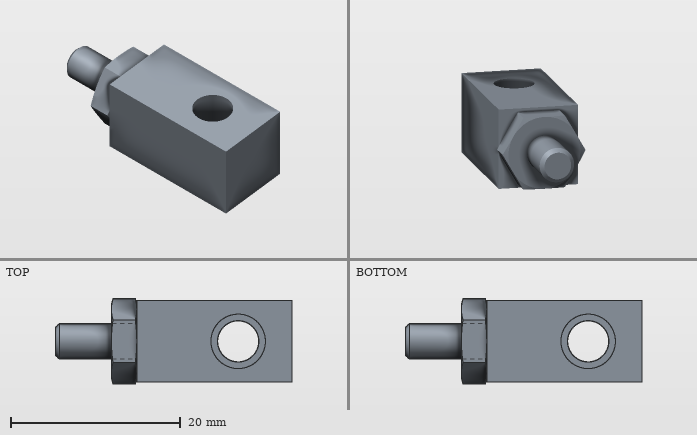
import cadquery as cq
import math

total_length = 27.95
stud_free_length = 6.62
stud_diameter = 4.2
stud_chamfer = 0.47
head_side = 9.65

nut_sides = 6
nut_thickness = 3.0
nut_across_corners = 10.1
nut_across_flats = nut_across_corners * math.cos(math.pi / nut_sides)
nut_chamfer_angle = 15.0

bush_outer_diameter = 6.43
bush_bore_diameter = 4.83
bush_x = 21.57

nut_start = stud_free_length
head_start = nut_start + nut_thickness
head_length = total_length - head_start


def cylinder_along_x(diameter, start, length):
    return cq.Workplane("YZ", origin=(start, 0, 0)).circle(diameter / 2).extrude(length)


def cylinder_through_head(diameter):
    return (
        cq.Workplane("XY", origin=(bush_x, 0, -head_side / 2))
        .circle(diameter / 2)
        .extrude(head_side)
    )


def make_rod_end():
    stud = cylinder_along_x(stud_diameter, 0, head_start).faces("<X").chamfer(stud_chamfer)
    head = cq.Workplane("YZ", origin=(head_start, 0, 0)).rect(head_side, head_side).extrude(head_length)
    return head.union(stud).cut(cylinder_through_head(bush_outer_diameter))


def make_nut():
    hexagon = (
        cq.Workplane("YZ", origin=(nut_start, 0, 0))
        .polygon(nut_sides, nut_across_corners)
        .extrude(nut_thickness)
    )
    face_radius = nut_across_flats / 2
    corner_radius = nut_across_corners / 2
    chamfer_depth = (corner_radius - face_radius) * math.tan(math.radians(nut_chamfer_angle))
    envelope = (
        cq.Workplane("XY")
        .polyline([
            (nut_start, 0),
            (nut_start, face_radius),
            (nut_start + chamfer_depth, corner_radius),
            (head_start - chamfer_depth, corner_radius),
            (head_start, face_radius),
            (head_start, 0),
        ])
        .close()
        .revolve(360, (0, 0, 0), (1, 0, 0))
    )
    bore = cylinder_along_x(stud_diameter, nut_start, nut_thickness)
    return hexagon.intersect(envelope).cut(bore)


def make_bush():
    return cylinder_through_head(bush_outer_diameter).cut(cylinder_through_head(bush_bore_diameter))


rod_end = make_rod_end()
nut = make_nut()
bush = make_bush()

result = cq.Compound.makeCompound([rod_end.solids().val(), nut.solids().val(), bush.solids().val()])